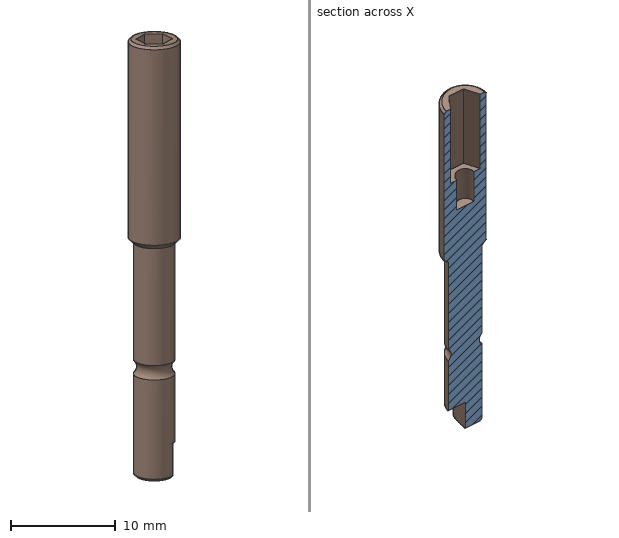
import cadquery as cq
import math

total_length = 44.0
head_diameter = 5.0
shank_diameter = 4.0
head_length = 19.98
end_chamfer = 0.25
groove_radius = 1.0
groove_depth = 0.3
groove_height = 11.0
step_height = 3.5
hex_across_flats = 3.0
hex_depth = 10.0
bore_diameter = 2.0
bore_depth = 4.0

head_radius = head_diameter / 2
shank_radius = shank_diameter / 2
taper_top = total_length - head_length
taper_bottom = taper_top - (head_radius - shank_radius)
groove_half_width = math.sqrt(groove_radius**2 - (groove_radius - groove_depth) ** 2)


def make_body():
    """Revolve the half profile of the stepped, grooved shaft."""
    profile = (
        cq.Workplane("XZ")
        .lineTo(shank_radius - end_chamfer, 0)
        .lineTo(shank_radius, end_chamfer)
        .lineTo(shank_radius, groove_height - groove_half_width)
        .threePointArc(
            (shank_radius - groove_depth, groove_height),
            (shank_radius, groove_height + groove_half_width),
        )
        .lineTo(shank_radius, taper_bottom)
        .lineTo(head_radius, taper_top)
        .lineTo(head_radius, total_length - end_chamfer)
        .lineTo(head_radius - end_chamfer, total_length)
        .lineTo(0, total_length)
        .close()
    )
    return profile.revolve(360, (0, 0, 0), (0, 1, 0))


def make_socket():
    """Hexagonal socket with corners on the Y axis and a round bore in its floor."""
    across_corners = hex_across_flats / math.cos(math.pi / 6)
    hexagon = (
        cq.Workplane("XY", origin=(0, 0, total_length))
        .transformed(rotate=(0, 0, 90))
        .polygon(6, across_corners)
        .extrude(-hex_depth)
    )
    bore = (
        cq.Workplane("XY", origin=(0, 0, total_length - hex_depth))
        .circle(bore_diameter / 2)
        .extrude(-bore_depth)
    )
    return hexagon.union(bore)


def make_tip_step():
    """Block that removes the +Y half of the tip, leaving a flat on the axis."""
    return cq.Workplane("XY").box(
        shank_diameter, shank_diameter, step_height, centered=(True, False, False)
    )


result = make_body().cut(make_socket()).cut(make_tip_step())